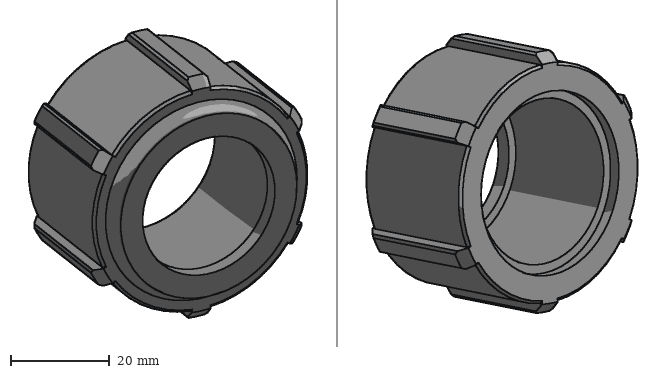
import cadquery as cq
import math

total_length = 32.0
body_length = 28.8
body_radius = 49.5 / 2
body_chamfer = 0.6

collar_radius = 40.5 / 2
collar_fillet = 2.85
collar_land = 0.6

recess_radius = 38.0 / 2
recess_depth = 2.5
bore_radius = 34.2 / 2
lip_radius = 30.4 / 2
lip_thickness = total_length - body_length

rib_count = 6
rib_radius = 54 / 2
rib_half_angle = 5
rib_flank_drop = 0.6
rib_end_chamfer = 2.15


def revolve_about_x(profile):
    """Turn a closed (x, radius) profile into a solid around the X axis."""
    return profile.close().revolve(360, (0, 0, 0), (1, 0, 0))


def make_body():
    fillet_end = total_length - collar_land
    fillet_center_radius = collar_radius + collar_fillet
    start_angle = math.asin((fillet_end - body_length) / collar_fillet)
    start_radius = fillet_center_radius - collar_fillet * math.cos(start_angle)
    middle = (
        fillet_end - collar_fillet * math.sin(start_angle / 2),
        fillet_center_radius - collar_fillet * math.cos(start_angle / 2),
    )
    return revolve_about_x(
        cq.Workplane("XY")
        .moveTo(0, 0)
        .lineTo(0, body_radius - body_chamfer)
        .lineTo(body_chamfer, body_radius)
        .lineTo(body_length - body_chamfer, body_radius)
        .lineTo(body_length, body_radius - body_chamfer)
        .lineTo(body_length, start_radius)
        .threePointArc(middle, (fillet_end, collar_radius))
        .lineTo(total_length, collar_radius)
        .lineTo(total_length, 0)
    )


def make_bore():
    lip_start = total_length - lip_thickness
    return revolve_about_x(
        cq.Workplane("XY")
        .moveTo(0, 0)
        .lineTo(0, recess_radius)
        .lineTo(recess_depth, recess_radius)
        .lineTo(recess_depth, bore_radius)
        .lineTo(lip_start, bore_radius)
        .lineTo(lip_start, lip_radius)
        .lineTo(total_length, lip_radius)
        .lineTo(total_length, 0)
    )


def make_rib_envelope():
    """Round solid with conical ends that bounds the tops and ends of all ribs."""
    return revolve_about_x(
        cq.Workplane("XY")
        .moveTo(0, 0)
        .lineTo(0, rib_radius - rib_end_chamfer)
        .lineTo(rib_end_chamfer, rib_radius)
        .lineTo(body_length - rib_end_chamfer, rib_radius)
        .lineTo(body_length, rib_radius - rib_end_chamfer)
        .lineTo(body_length, 0)
    )


def make_rib_wedge():
    """Wedge along +Z with radial flanks and chamfered outer edges."""
    flank_top = rib_radius - rib_flank_drop
    flank_half_width = flank_top * math.tan(math.radians(rib_half_angle))
    ridge_height = flank_top + flank_half_width
    return (
        cq.Workplane("YZ")
        .polyline([
            (0, 0),
            (flank_half_width, flank_top),
            (0, ridge_height),
            (-flank_half_width, flank_top),
        ])
        .close()
        .extrude(body_length)
    )


wedge = make_rib_wedge()
envelope = make_rib_envelope()
result = make_body()
for index in range(rib_count):
    rib = wedge.rotate((0, 0, 0), (1, 0, 0), index * 360 / rib_count).intersect(envelope)
    result = result.union(rib)
result = result.cut(make_bore())